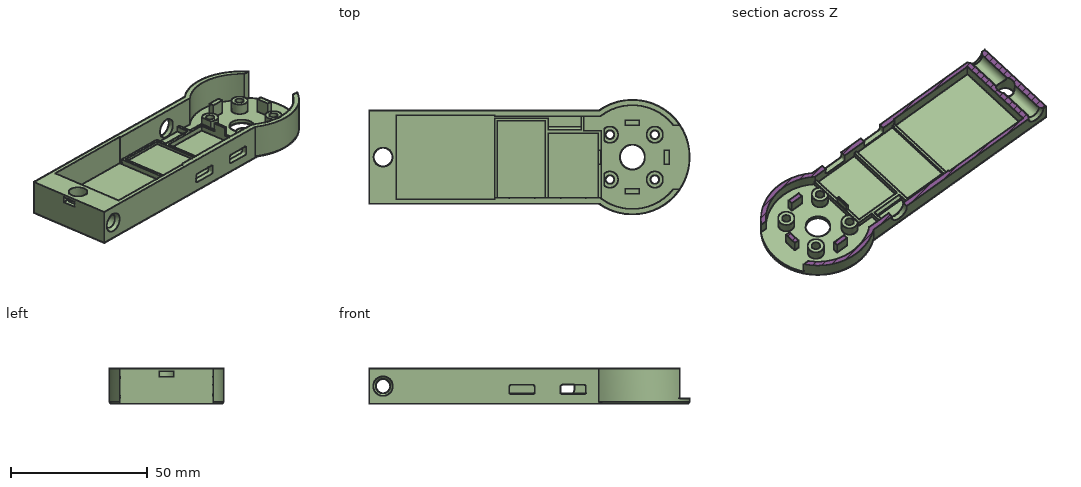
import cadquery as cq
length = 117.3
head_diameter = 42.0
height = 13.0
body_width = 34.1
floor_thickness = 2.0

head_radius = head_diameter / 2
head_x = length - head_radius
head_wall = 2.0
head_chamfer = 0.7
head_opening_half_width = 11.7
head_bore_diameter = 9.0

side_wall = 2.1
battery_start_x = 10.0
battery_end_x = 45.9
battery_width = 30.7
cavity_half_width = body_width / 2 - side_wall

rib_thickness = 1.0
rib_top = 4.0
front_bay_floor = 2.9
divider_x = 64.4
front_bay_back_y = 13.3
rear_bay_end_x = 83.9
rear_bay_back_y = 8.7
bevel_end_x = 77.5
bevel_crest_y = 10.0
bevel_size = 1.0

post_offset = 8.2
post_diameter = 6.0
post_hole_diameter = 3.0
post_top = 6.0
post_flat_x = 86.0
tab_width = 5.0
tab_thickness = 1.9
tab_distance = 12.5
tab_top = 7.3

port_start_xs = (51.3, 70.0)
port_length = 9.3
port_height = 3.5
port_bottom = 3.5
port_corner_radius = 0.8
round_port_x = 71.6
round_port_z = 5.9
round_port_diameter = 7.2

block_hole_x = 5.0
vertical_hole_diameter = 6.8
cross_hole_diameter = 5.2
countersink_diameter = 7.2
countersink_depth = 1.4
end_slot_width = 5.3
end_slot_bottom = 9.9
end_slot_top = 12.0


def block(x0, x1, y0, y1, z0, z1):
    """Box given by its limits along each axis."""
    return cq.Workplane("XY").box(x1 - x0, y1 - y0, z1 - z0, centered=False).translate((x0, y0, z0))


def cylinder(x, y, diameter, z0, z1):
    """Vertical cylinder between two heights."""
    return cq.Workplane("XY", origin=(x, y, z0)).circle(diameter / 2).extrude(z1 - z0)


def cone(base_point, axis, base_diameter, top_diameter, depth):
    """Tapered plug that starts at a point and narrows along an axis."""
    solid = cq.Solid.makeCone(
        base_diameter / 2, top_diameter / 2, depth, pnt=cq.Vector(base_point), dir=cq.Vector(axis))
    return cq.Workplane(solid)


def post_centres():
    """Centres of the four motor posts."""
    return [
        (head_x + x_side * post_offset, y_side * post_offset)
        for x_side in (-1, 1)
        for y_side in (-1, 1)
    ]


def make_shell():
    """Tray body with a round head, hollowed down to the floor."""
    head = cylinder(head_x, 0, head_diameter, 0, height).faces("<Z").chamfer(head_chamfer)
    shell = head.union(block(0, head_x, -body_width / 2, body_width / 2, 0, height))
    cavities = (
        block(battery_start_x, battery_end_x, -battery_width / 2, battery_width / 2, floor_thickness, height),
        block(battery_end_x, head_x, -cavity_half_width, cavity_half_width, floor_thickness, height),
        cylinder(head_x, 0, head_diameter - 2 * head_wall, floor_thickness, height),
        block(head_x, length, -head_opening_half_width, head_opening_half_width, floor_thickness, height),
    )
    for cavity in cavities:
        shell = shell.cut(cavity)
    return shell


def make_ribs():
    """Low ribs around both bays; the front bay has a raised floor, the rear bay a bevelled back."""
    front_y = -cavity_half_width
    divider_end_x = divider_x + rib_thickness
    front_bay_outer_y = front_bay_back_y + rib_thickness
    rear_bay_outer_y = rear_bay_back_y + rib_thickness
    rear_bay_outer_x = rear_bay_end_x + rib_thickness
    rib_limits = (
        (battery_end_x, battery_end_x + rib_thickness, front_y, front_bay_outer_y),
        (battery_end_x, divider_end_x, front_bay_back_y, front_bay_outer_y),
        (divider_x, divider_end_x, front_y, front_bay_outer_y),
        (divider_x, rear_bay_outer_x, rear_bay_back_y, rear_bay_outer_y),
        (rear_bay_end_x, rear_bay_outer_x, front_y, rear_bay_outer_y),
        (bevel_end_x, bevel_end_x + rib_thickness, rear_bay_back_y, cavity_half_width),
    )
    ribs = block(battery_end_x, divider_end_x, front_y, front_bay_outer_y, 0, front_bay_floor)
    for x0, x1, y0, y1 in rib_limits:
        ribs = ribs.union(block(x0, x1, y0, y1, 0, rib_top))
    bevel = (
        cq.Workplane("YZ", origin=(divider_x, 0, 0))
        .moveTo(rear_bay_back_y, 0)
        .lineTo(rear_bay_back_y, rib_top)
        .lineTo(bevel_crest_y, rib_top)
        .lineTo(bevel_crest_y + bevel_size, rib_top - bevel_size)
        .lineTo(bevel_crest_y + bevel_size, 0)
        .close()
        .extrude(bevel_end_x - divider_x)
    )
    return ribs.union(bevel)


def make_posts():
    """Four motor posts; the pair beside the rear bay has a flat side."""
    posts = cq.Workplane("XY")
    for x, y in post_centres():
        posts = posts.union(cylinder(x, y, post_diameter, 0, post_top))
    return posts.intersect(block(post_flat_x, length, -head_radius, head_radius, 0, height))


def make_tabs():
    """Four upright tabs around the bore, clipped by the rear bay."""
    tab = block(
        tab_distance - tab_thickness / 2, tab_distance + tab_thickness / 2,
        -tab_width / 2, tab_width / 2, 0, tab_top)
    tabs = cq.Workplane("XY")
    for quarter in range(4):
        tabs = tabs.union(tab.rotate((0, 0, 0), (0, 0, 1), 90 * quarter))
    tabs = tabs.translate((head_x, 0, 0))
    return tabs.intersect(block(rear_bay_end_x, length, -head_radius, head_radius, 0, height))


def cut_head_holes(body):
    """Central bore, chamfered underneath, and the screw holes through the posts."""
    body = body.cut(cylinder(head_x, 0, head_bore_diameter, 0, height))
    bore_mouth_diameter = head_bore_diameter + 2 * head_chamfer
    body = body.cut(cone((head_x, 0, 0), (0, 0, 1), bore_mouth_diameter, head_bore_diameter, head_chamfer))
    for x, y in post_centres():
        body = body.cut(cylinder(x, y, post_hole_diameter, 0, height))
    return body


def cut_wall_ports(body):
    """Two rounded ports in the -Y wall and a round one in the +Y wall."""
    for start_x in port_start_xs:
        port = block(
            start_x, start_x + port_length,
            -body_width / 2, -cavity_half_width, port_bottom, port_bottom + port_height)
        body = body.cut(port.edges("|Y").fillet(port_corner_radius))
    round_port = (
        cq.Workplane("XZ", origin=(round_port_x, body_width / 2, round_port_z))
        .circle(round_port_diameter / 2)
        .extrude(side_wall)
    )
    return body.cut(round_port)


def cut_block_holes(body):
    """Vertical hole, countersunk cross hole and the slot in the end face."""
    body = body.cut(cylinder(block_hole_x, 0, vertical_hole_diameter, 0, height))
    cross_hole = (
        cq.Workplane("XZ", origin=(block_hole_x, body_width / 2, height / 2))
        .circle(cross_hole_diameter / 2)
        .extrude(body_width)
    )
    body = body.cut(cross_hole)
    for y_side in (-1, 1):
        mouth = (block_hole_x, y_side * body_width / 2, height / 2)
        body = body.cut(
            cone(mouth, (0, -y_side, 0), countersink_diameter, cross_hole_diameter, countersink_depth))
    end_slot = block(0, block_hole_x, -end_slot_width / 2, end_slot_width / 2, end_slot_bottom, end_slot_top)
    return body.cut(end_slot)


result = make_shell().union(make_ribs()).union(make_posts()).union(make_tabs())
result = cut_head_holes(result)
result = cut_wall_ports(result)
result = cut_block_holes(result)